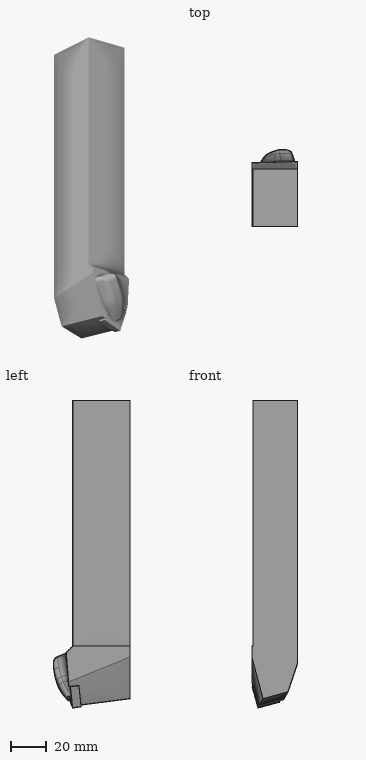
import cadquery as cq
import math

total_length = 171.4
shank_width = 25.0
shank_depth = 32.0

head_top = 34.5
head_overhang = 0.5
head_rise = 3.6
head_back_tilt = 4.6
head_side_tilt = 1.5
relief_start = 24.8
relief_end = 9.0
relief_inset = 5.3

tip_x = 2.9
insert_side = 12.3
insert_thickness = 4.8
lead_angle = 15.0
clearance_angle = 6.0
left_inset = 0.7
lower_inset = 0.9

clamp_nose = 6.0
clamp_shoulder = 16.1
clamp_end = 32.5
clamp_width = 12.3
clamp_nose_width = 6.2
clamp_height = 6.7
clamp_nose_height = 2.0
clamp_crown = 24.0
clamp_corner_radius = 2.5
clamp_shoulder_radius = 12.0
clamp_edge_radius = 3.3
clamp_draft = 14.0
clamp_root = 3.5

clearance = 68.5
margin = 0.2

lead = math.radians(lead_angle)
slope = math.tan(math.radians(clearance_angle))
lean_x = slope * (math.cos(lead) - math.sin(lead))
lean_z = slope * (math.cos(lead) + math.sin(lead))
edge_rise = lean_x * math.cos(lead) + lean_z * math.sin(lead)
insert_plane = cq.Plane(
    origin=(tip_x, shank_depth, 0),
    xDir=(math.cos(lead), edge_rise, math.sin(lead)),
    normal=(-lean_x, 1, -lean_z),
)
clamp_plane = cq.Plane(
    origin=insert_plane.origin,
    xDir=insert_plane.xDir - insert_plane.yDir,
    normal=insert_plane.zDir,
)


def insert_block(bottom, top):
    """Square block on the insert's footprint between two heights over the rake face."""
    return (
        cq.Workplane(insert_plane)
        .workplane(offset=bottom)
        .center(insert_side / 2, -insert_side / 2)
        .rect(insert_side, insert_side)
        .extrude(top - bottom)
    )


def make_shank():
    return cq.Workplane("XY").box(
        shank_width, shank_depth, total_length - head_top, centered=False
    ).translate((0, 0, head_top))


def make_head():
    full_width = shank_width + head_overhang
    rise_limit = shank_depth + 2 * head_rise
    bar = (
        cq.Workplane("YZ")
        .workplane(offset=-head_overhang)
        .polyline([
            (0, 0),
            (rise_limit, 0),
            (rise_limit, head_top - 2 * head_rise),
            (shank_depth, head_top),
            (0, head_top),
        ])
        .close()
        .extrude(full_width)
    )
    back_plane = cq.Plane(
        origin=(-head_overhang, shank_depth + head_rise, head_top - head_rise),
        xDir=(1, math.tan(math.radians(head_side_tilt)), 0),
        normal=(
            -math.tan(math.radians(head_side_tilt)),
            1,
            -math.tan(math.radians(head_back_tilt)),
        ),
    )
    behind = cq.Workplane(back_plane).rect(2 * clearance, 2 * clearance).extrude(clearance)
    taper = relief_inset / (relief_start - relief_end)
    above_start = head_top - relief_start
    right_wire = cq.Wire.makePolygon(
        [
            cq.Vector(shank_width + taper * above_start, 0, head_top),
            cq.Vector(shank_width + clearance, 0, head_top),
            cq.Vector(shank_width + clearance, 0, -clearance),
            cq.Vector(shank_width - taper * (relief_start + clearance), 0, -clearance),
        ],
        close=True,
    )
    right_flank = cq.Solid.extrudeLinear(right_wire, [], insert_plane.zDir * clearance)
    flanks = (
        cq.Workplane(insert_plane)
        .workplane(offset=-clearance)
        .moveTo(left_inset, -lower_inset)
        .rect(clearance, -clearance, centered=False)
        .extrude(2 * clearance)
    )
    return bar.cut(behind).cut(cq.Workplane(right_flank)).intersect(flanks)


def make_clamp():
    half_nose = clamp_nose_width / 2
    half_width = clamp_width / 2
    plan = (
        cq.Sketch()
        .polygon([
            (clamp_nose, -half_nose),
            (clamp_shoulder, -half_width),
            (clamp_end, -half_width),
            (clamp_end, half_width),
            (clamp_shoulder, half_width),
            (clamp_nose, half_nose),
            (clamp_nose, -half_nose),
        ])
        .vertices(">X")
        .fillet(clamp_corner_radius)
        .reset()
        .vertices(cq.selectors.BoxSelector(
            (clamp_shoulder - margin, -clamp_width, -margin),
            (clamp_shoulder + margin, clamp_width, margin),
        ))
        .fillet(clamp_shoulder_radius)
        .reset()
    )
    drafted = cq.Workplane("XY").placeSketch(plan).extrude(clamp_height, taper=clamp_draft)
    root = cq.Workplane("XY").placeSketch(plan).extrude(-clamp_root)
    profile = (
        cq.Workplane("XZ")
        .workplane(offset=-half_width)
        .moveTo(clamp_nose, 0)
        .lineTo(clamp_end, 0)
        .lineTo(clamp_end, clamp_height)
        .lineTo(clamp_crown, clamp_height)
        .tangentArcPoint((clamp_nose, clamp_nose_height), relative=False)
        .close()
        .extrude(clamp_width)
    )
    finger = drafted.intersect(profile)
    finger = finger.faces(">Z").edges("not <X").fillet(clamp_edge_radius)
    clamp = finger.union(root)
    return cq.Workplane(clamp.val().moved(clamp_plane.location))


insert = insert_block(-insert_thickness, 0)
insert_pocket = insert_block(-insert_thickness, clearance)
holder = make_shank().union(make_head().cut(insert_pocket)).union(make_clamp().cut(insert))

result = cq.Compound.makeCompound([holder.val(), insert.val()])